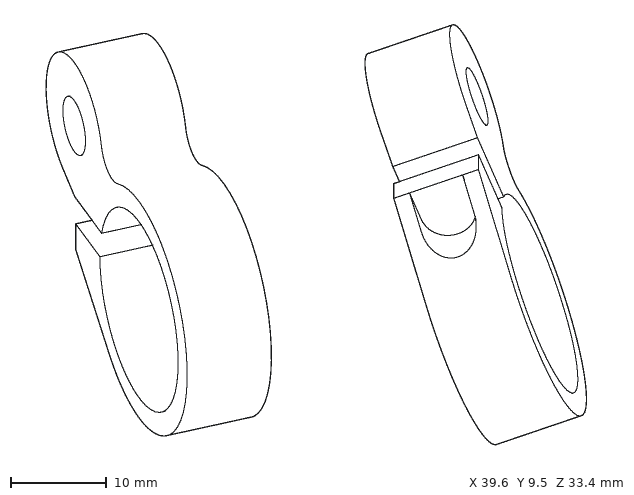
import cadquery as cq
import math

width = 9.5
ring_outer_radius = 13.5
ring_bore_radius = 10.98

boss_x = -18.2
boss_z = 11.95
boss_radius = 7.93
boss_hole_radius = 3.17
neck_fillet_radius = 3.17

gap_height = 3.2
upper_jaw_left = -18.07
leg_left = -17.8
leg_end_height = 3.2

recess_radius = 2.97
recess_x = (leg_left - ring_bore_radius) / 2


def polar(center, radius, angle):
    """Point at the given angle on a circle."""
    return center[0] + radius * math.cos(angle), center[1] + radius * math.sin(angle)


def tangent_point(point, center, radius, side):
    """Touching point of a tangent from a point to a circle; side is +1 or -1."""
    dx = point[0] - center[0]
    dz = point[1] - center[1]
    swing = math.acos(radius / math.hypot(dx, dz))
    return polar(center, radius, math.atan2(dz, dx) + side * swing)


def toward(center, target, radius):
    """Point on a circle in the direction of a target."""
    angle = math.atan2(target[1] - center[1], target[0] - center[0])
    return polar(center, radius, angle)


def fillet_center():
    """Centre of the neck arc, which touches boss and ring from above."""
    from_ring = ring_outer_radius + neck_fillet_radius
    from_boss = boss_radius + neck_fillet_radius
    spacing = math.hypot(boss_x, boss_z)
    cosine = (from_ring**2 + spacing**2 - from_boss**2) / (2 * from_ring * spacing)
    return polar(ring, from_ring, math.atan2(boss_z, boss_x) - math.acos(cosine))


ring = (0, 0)
boss = (boss_x, boss_z)
neck = fillet_center()

upper_jaw_corner = (upper_jaw_left, gap_height)
leg_corner = (leg_left, -leg_end_height)
boss_tangent = tangent_point(upper_jaw_corner, boss, boss_radius, -1)
leg_tangent = tangent_point(leg_corner, ring, ring_outer_radius, 1)
neck_on_boss = toward(boss, neck, boss_radius)
neck_on_ring = toward(ring, neck, ring_outer_radius)
neck_middle = toward(neck, (neck[0], boss_z - boss_radius), neck_fillet_radius)
upper_jaw_right = -math.sqrt(ring_bore_radius**2 - gap_height**2)

body = (
    cq.Workplane("XZ")
    .moveTo(*upper_jaw_corner)
    .lineTo(*boss_tangent)
    .threePointArc((boss_x, boss_z + boss_radius), neck_on_boss)
    .threePointArc(neck_middle, neck_on_ring)
    .threePointArc((ring_outer_radius, 0), leg_tangent)
    .lineTo(*leg_corner)
    .lineTo(leg_left, 0)
    .lineTo(-ring_bore_radius, 0)
    .threePointArc((ring_bore_radius, 0), (upper_jaw_right, gap_height))
    .close()
    .extrude(width / 2, both=True)
)

boss_hole = (
    cq.Workplane("XZ").center(*boss).circle(boss_hole_radius).extrude(width / 2, both=True)
)

recess_plane = cq.Workplane("XY", origin=(recess_x, 0, -leg_end_height))
recess_round = recess_plane.circle(recess_radius).extrude(-ring_outer_radius)
recess_mouth = recess_plane.rect(
    leg_left - recess_x, 2 * recess_radius, centered=(False, True)
).extrude(-ring_outer_radius)

result = body.cut(boss_hole).cut(recess_round.union(recess_mouth))